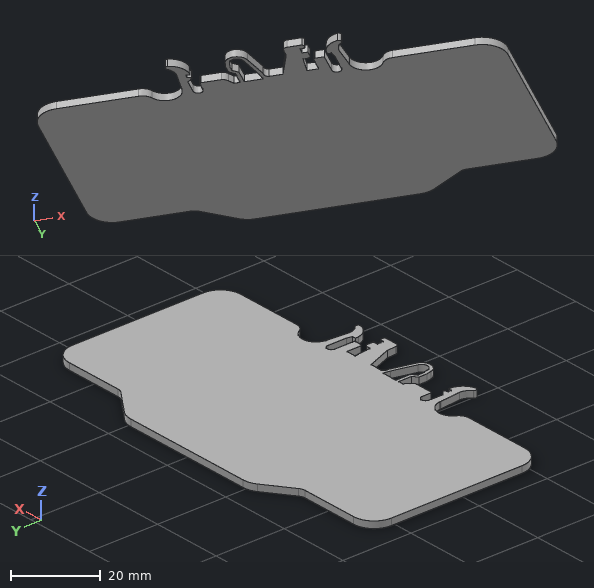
import cadquery as cq
import math

LENGTH = 109.0
THICKNESS = 2.0
TOP_Y = 57.5
SHOULDER_Y = 50.4
CORNER_RADIUS = 6.0
TOP_HALF_WIDTH = 21.1
SHOULDER_HALF_WIDTH = 31.1
TOP_BEND_RADIUS = 6.0
SHOULDER_BEND_RADIUS = 2.7

RECESS_X = 23.3
RECESS_Y = -0.3
RECESS_RADIUS = 3.9
RECESS_LIP_X = 29.4

SLOT_INNER_X = 14.9
SLOT_OUTER_X = 17.2
SLOT_TOP_Y = 2.5

HOOK_NECK_X = RECESS_X - RECESS_RADIUS
HOOK_NOTCH_X = 16.9
HOOK_NOSE_X = 15.9
HOOK_BARB_Y = -5.6

ROOT_OVERLAP = 1.1
SPRING_ROOT_Y = 0.7
SPRING_ARM_X = -0.8
STOP_END_X = -7.5
STOP_BOTTOM_Y = -1.6
POST_BOTTOM_Y = -4.6
POST_INNER_X = 12.3
BLOCK_CHAMFER = 0.4
FOOT_BOTTOM_Y = TOP_Y - 68.3
FOOT_RIGHT_X = 12.0
FOOT_NOTCH_X = 10.7
FOOT_CORNER = 0.4


def extrude(outline):
    return outline.close().extrude(THICKNESS)


def mirrored(shape):
    return shape.mirror("YZ")


def make_plate():
    half = LENGTH / 2
    right = [(half, 0), (half, SHOULDER_Y), (SHOULDER_HALF_WIDTH, SHOULDER_Y), (TOP_HALF_WIDTH, TOP_Y)]
    left = [(-x, y) for x, y in reversed(right)]
    plate = extrude(cq.Workplane().polyline(right + left))
    radii = (CORNER_RADIUS, CORNER_RADIUS, SHOULDER_BEND_RADIUS, TOP_BEND_RADIUS)
    for (x, y), radius in zip(right, radii):
        for side in (-1, 1):
            corner = cq.selectors.NearestToPointSelector((side * x, y, THICKNESS / 2))
            plate = plate.edges("|Z").edges(corner).fillet(radius)
    return plate


def make_recess():
    """Left recess: a round hollow blended into the lower edge by a tangent lip arc."""
    run = RECESS_LIP_X - RECESS_X
    lip_radius = (run**2 + RECESS_Y**2 - RECESS_RADIUS**2) / (2 * (RECESS_RADIUS + RECESS_Y))
    center_distance = lip_radius + RECESS_RADIUS
    blend_x = -RECESS_LIP_X + lip_radius * run / center_distance
    blend_y = lip_radius - lip_radius * (lip_radius - RECESS_Y) / center_distance
    lip_half_angle = math.asin(run / center_distance) / 2
    lip_mid = (
        -RECESS_LIP_X + lip_radius * math.sin(lip_half_angle),
        lip_radius - lip_radius * math.cos(lip_half_angle),
    )
    return extrude(
        cq.Workplane()
        .moveTo(-RECESS_LIP_X, 0)
        .threePointArc(lip_mid, (blend_x, blend_y))
        .threePointArc((-RECESS_X, RECESS_Y + RECESS_RADIUS), (-HOOK_NECK_X, RECESS_Y))
        .lineTo(-RECESS_LIP_X, RECESS_Y)
    )


def make_slot():
    """Left slot, open below and closed by a half round."""
    radius = (SLOT_OUTER_X - SLOT_INNER_X) / 2
    spring_line = SLOT_TOP_Y - radius
    return extrude(
        cq.Workplane()
        .moveTo(-SLOT_OUTER_X, RECESS_Y)
        .lineTo(-SLOT_OUTER_X, spring_line)
        .threePointArc((-SLOT_OUTER_X + radius, SLOT_TOP_Y), (-SLOT_INNER_X, spring_line))
        .lineTo(-SLOT_INNER_X, RECESS_Y)
    )


def make_hook():
    """Left hook, with its toe curling outward."""
    return extrude(
        cq.Workplane()
        .moveTo(-SLOT_OUTER_X, ROOT_OVERLAP)
        .lineTo(-HOOK_NECK_X, ROOT_OVERLAP)
        .lineTo(-HOOK_NECK_X, RECESS_Y)
        .lineTo(-18.9, -6.2)
        .threePointArc((-19.2, -7.8), (-20.3, -9.2))
        .threePointArc((-20.4, -10.0), (-19.7, -10.5))
        .threePointArc((-17.2, -9.0), (-HOOK_NOSE_X, -6.4))
        .lineTo(-HOOK_NOSE_X, HOOK_BARB_Y)
        .lineTo(-HOOK_NOTCH_X, HOOK_BARB_Y)
        .lineTo(-SLOT_OUTER_X, -4.1)
    )


def make_hook_nub():
    """Pointed nub above the barb; only the left hook has one."""
    return extrude(
        cq.Workplane()
        .moveTo(-SLOT_OUTER_X, -2.7)
        .lineTo(-HOOK_NOSE_X, -3.9)
        .lineTo(-HOOK_NOSE_X, -4.3)
        .lineTo(-HOOK_NOTCH_X, -4.6)
        .lineTo(-HOOK_NOTCH_X, HOOK_BARB_Y)
        .lineTo(-SLOT_OUTER_X - ROOT_OVERLAP, HOOK_BARB_Y)
        .lineTo(-SLOT_OUTER_X - ROOT_OVERLAP, -2.7)
    )


def make_stop():
    """Shallow block beside the left slot, sloping up to the spring root."""
    return extrude(
        cq.Workplane()
        .moveTo(-SLOT_INNER_X, ROOT_OVERLAP)
        .lineTo(-SLOT_INNER_X, STOP_BOTTOM_Y + BLOCK_CHAMFER)
        .lineTo(-SLOT_INNER_X + BLOCK_CHAMFER, STOP_BOTTOM_Y)
        .lineTo(-9.7, STOP_BOTTOM_Y)
        .threePointArc((-8.9, -1.3), (-8.4, -0.7))
        .lineTo(STOP_END_X, SPRING_ROOT_Y)
        .lineTo(STOP_END_X, ROOT_OVERLAP)
    )


def make_spring_pocket():
    """Raises the plate edge from the stop to the far spring arm."""
    return extrude(
        cq.Workplane()
        .moveTo(-8.0, 0)
        .lineTo(STOP_END_X, SPRING_ROOT_Y)
        .lineTo(SPRING_ARM_X, SPRING_ROOT_Y)
        .lineTo(SPRING_ARM_X, 0)
    )


def make_spring():
    """Thin U-shaped spring loop with a cranked left arm."""
    outside = extrude(
        cq.Workplane()
        .moveTo(-6.1, ROOT_OVERLAP)
        .lineTo(-6.1, -3.0)
        .lineTo(-7.4, -4.3)
        .lineTo(-7.4, -6.5)
        .lineTo(-7.1, -8.1)
        .threePointArc((-4.5, -10.1), (-1.9, -8.1))
        .lineTo(-0.1, -1.5)
        .threePointArc((0.1, -0.4), (0.8, 0))
        .lineTo(0.8, ROOT_OVERLAP)
    )
    inside = extrude(
        cq.Workplane()
        .moveTo(-5.1, SPRING_ROOT_Y)
        .lineTo(-5.1, -3.6)
        .lineTo(-6.4, -4.7)
        .lineTo(-6.4, -6.1)
        .lineTo(-6.1, -7.8)
        .threePointArc((-4.5, -9.2), (-2.8, -7.8))
        .lineTo(-1.1, -1.3)
        .lineTo(SPRING_ARM_X, SPRING_ROOT_Y)
    )
    return outside.cut(inside)


def make_foot():
    """Tapered foot with a notched right side."""
    return extrude(
        cq.Workplane()
        .moveTo(4.0, ROOT_OVERLAP)
        .lineTo(4.0, 0)
        .lineTo(6.9, -7.2)
        .lineTo(7.0, -9.7)
        .threePointArc((7.3, -10.5), (8.1, FOOT_BOTTOM_Y))
        .lineTo(FOOT_RIGHT_X - FOOT_CORNER, FOOT_BOTTOM_Y)
        .lineTo(FOOT_RIGHT_X, FOOT_BOTTOM_Y + FOOT_CORNER)
        .lineTo(FOOT_RIGHT_X, -9.7)
        .lineTo(FOOT_RIGHT_X - FOOT_CORNER, -9.3)
        .lineTo(FOOT_NOTCH_X, -9.3)
        .lineTo(FOOT_NOTCH_X, -7.5)
        .lineTo(FOOT_RIGHT_X, -7.5)
        .lineTo(FOOT_RIGHT_X, -5.8)
        .threePointArc((11.8, -5.2), (11.1, -4.9))
        .lineTo(10.1, -4.9)
        .lineTo(9.6, 0)
        .lineTo(9.6, ROOT_OVERLAP)
    )


def make_post():
    """Straight post beside the right slot."""
    return extrude(
        cq.Workplane()
        .moveTo(POST_INNER_X, ROOT_OVERLAP)
        .lineTo(POST_INNER_X, POST_BOTTOM_Y + BLOCK_CHAMFER)
        .lineTo(POST_INNER_X + BLOCK_CHAMFER, POST_BOTTOM_Y)
        .lineTo(SLOT_INNER_X, POST_BOTTOM_Y)
        .lineTo(SLOT_INNER_X, ROOT_OVERLAP)
    )


result = make_plate().cut(make_spring_pocket())
for cutter in (make_recess(), make_slot()):
    result = result.cut(cutter).cut(mirrored(cutter))

left_hook = make_hook()
features = (
    left_hook,
    mirrored(left_hook),
    make_hook_nub(),
    make_stop(),
    make_spring(),
    make_foot(),
    make_post(),
)
for feature in features:
    result = result.union(feature)
result = result.clean()